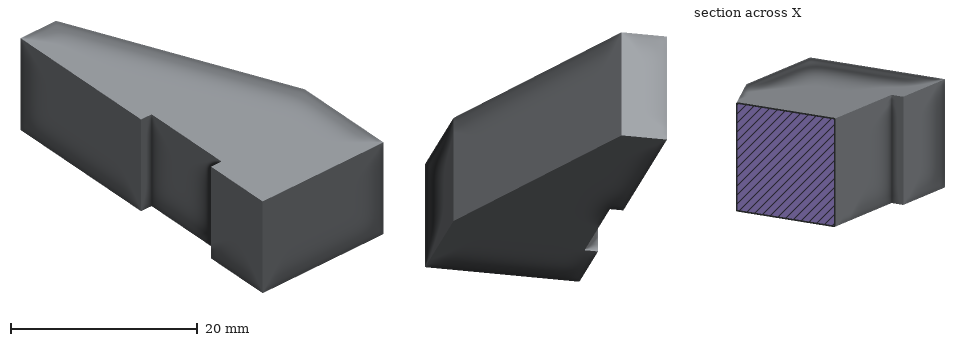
import cadquery as cq

length = 40.0
depth = 17.0
height = 12.0

left_end_depth = 5.0
back_flat_start = 27.0

slot_start = 19.9
slot_width = 11.55
slot_depth = 1.5


def make_body():
    """Extrude the wedge-shaped block upward."""
    outline = [
        (0, 0),
        (length, 0),
        (length, depth),
        (back_flat_start, depth),
        (0, left_end_depth),
    ]
    return cq.Workplane("XY").polyline(outline).close().extrude(height)


def make_slot():
    """Full-height cutter for the slot in the front face."""
    return (
        cq.Workplane("XY")
        .box(slot_width, slot_depth, height, centered=False)
        .translate((slot_start, 0, 0))
    )


result = make_body().cut(make_slot())